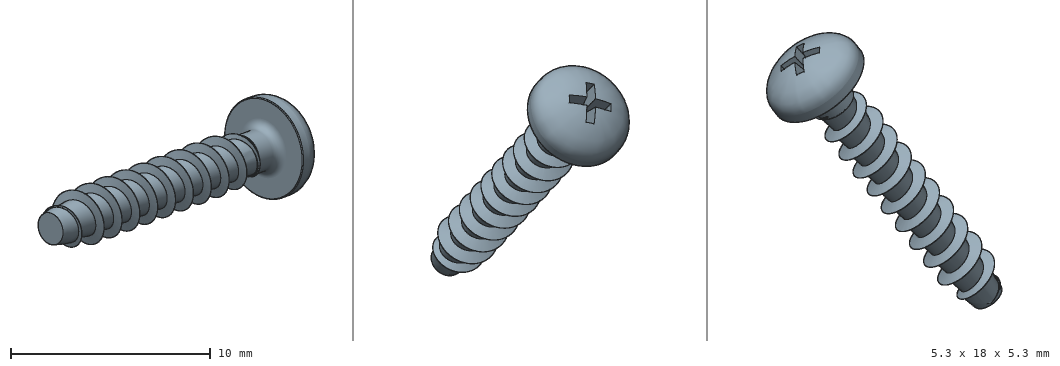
import cadquery as cq
import math


head_radius = 2.65
head_height = 1.99
rim_height = 0.54
rim_chamfer = 0.05

wing_width = 0.48
wing_span = 2.3
recess_depth = 1.2
recess_taper = 8.0

shank_radius = 1.08
shank_length = 1.5
neck_fillet = 0.47
screw_length = 16.0

core_radius = 1.02
core_low_radius = 0.86
shoulder_length = 0.4
tip_radius = 0.84
tip_taper_length = 0.9

thread_radius = 1.5
pitch = 1.342
crest_width = 0.02
tooth_depth = 0.65
head_side_flank = 18.0
tip_side_flank = 10.0
crest_start_y = -1.586
first_turn = -0.2
full_turn = 1.0
fade_turn = 9.35
last_turn = 10.55
start_radius = 1.13
end_radius = 0.92

groove_land = 0.1
groove_clearance = 0.02
groove_first_turn = -1.25
groove_start_turn = -0.8
groove_full_turn = -0.5
groove_last_turn = 11.75

points_per_turn = 24


def axis_revolve(profile):
    """Turn a profile drawn in the ZY plane about the Y axis."""
    return profile.close().revolve(360, (0, 0, 0), (0, 1, 0))


def make_head_and_shank():
    dome_height = head_height - rim_height
    profile = (
        cq.Workplane("ZY")
        .moveTo(0, -shank_length)
        .lineTo(shank_radius, -shank_length)
        .lineTo(shank_radius, -neck_fillet)
        .radiusArc((shank_radius + neck_fillet, 0), neck_fillet)
        .lineTo(head_radius - rim_chamfer, 0)
        .lineTo(head_radius, rim_chamfer)
        .lineTo(head_radius, rim_height)
        .ellipseArc(head_radius, dome_height, 0, 90, startAtCurrent=True)
    )
    return axis_revolve(profile)


def make_recess():
    """Cross-shaped cutter that narrows towards its floor."""
    top = cq.Workplane("XZ", origin=(0, head_height, 0))
    along_x = top.rect(wing_span, wing_width).extrude(recess_depth, taper=recess_taper)
    along_z = top.rect(wing_width, wing_span).extrude(recess_depth, taper=recess_taper)
    return along_x.union(along_z)


def helix_edge(radius_at, offset, turn_from, turn_to):
    """Right-hand helix about Y, shifted along Y by offset from the crest line."""
    count = math.ceil((turn_to - turn_from) * points_per_turn)
    points = []
    for i in range(count + 1):
        turn = turn_from + (turn_to - turn_from) * i / count
        angle = 2 * math.pi * turn
        radius = radius_at(turn)
        y = crest_start_y - pitch * turn + offset
        points.append(cq.Vector(radius * math.cos(angle), y, radius * math.sin(angle)))
    return cq.Edge.makeSpline(points)


def helical_solid(corners, turn_from, turn_to):
    """Solid whose section is the polygon of (radius function, Y offset) corners, built turn by turn."""

    def edges_between(start, stop):
        return [helix_edge(radius_at, offset, start, stop) for radius_at, offset in corners]

    def end_face(edges, end):
        ring = [edge.positionAt(end) for edge in edges]
        return cq.Face.makeFromWires(cq.Wire.makePolygon(ring, close=True))

    segment_count = math.ceil(turn_to - turn_from)
    segment = (turn_to - turn_from) / segment_count
    starts = [turn_from + i * segment for i in range(segment_count)]
    segments = [edges_between(start, start + segment) for start in starts]

    faces = [end_face(segments[0], 0), end_face(segments[-1], 1)]
    for edges in segments:
        for i, edge in enumerate(edges):
            faces.append(cq.Face.makeRuledSurface(edges[i - 1], edge))
    solid = cq.Solid.makeSolid(cq.Shell.makeShell(faces))
    return cq.Workplane(solid.fix())


def crest_radius(turn):
    """Crest radius, rising over the first turn and falling over the last ones."""
    if turn < full_turn:
        share = (turn - first_turn) / (full_turn - first_turn)
        return start_radius + share * (thread_radius - start_radius)
    if turn > fade_turn:
        share = (turn - fade_turn) / (last_turn - fade_turn)
        return thread_radius + share * (end_radius - thread_radius)
    return thread_radius


def tooth_base_radius(turn):
    return crest_radius(turn) - tooth_depth


def make_thread():
    half_crest = crest_width / 2
    head_side_base = half_crest + tooth_depth * math.tan(math.radians(head_side_flank))
    tip_side_base = half_crest + tooth_depth * math.tan(math.radians(tip_side_flank))
    corners = [
        (tooth_base_radius, head_side_base),
        (crest_radius, half_crest),
        (crest_radius, -half_crest),
        (tooth_base_radius, -tip_side_base),
    ]
    return helical_solid(corners, first_turn, last_turn)


def groove_top_radius(turn):
    """Constant radius, just clear of the core."""
    return core_radius + groove_clearance


def groove_floor_radius(turn):
    """Radius at the tip-side end of the groove, which deepens to its full depth at the start."""
    share = (turn - groove_start_turn) / (groove_full_turn - groove_start_turn)
    share = min(max(share, 0), 1)
    return groove_top_radius(turn) + share * (core_low_radius - groove_top_radius(turn))


def groove_outer_radius(turn):
    return core_radius + tooth_depth


def make_core():
    """Cylinder with tapered ends and a shallow wedge cut away between the turns of thread."""
    blank = axis_revolve(
        cq.Workplane("ZY")
        .moveTo(0, -shank_length)
        .lineTo(shank_radius, -shank_length)
        .lineTo(core_radius, -shank_length - shoulder_length)
        .lineTo(core_radius, -screw_length + tip_taper_length)
        .lineTo(tip_radius, -screw_length)
        .lineTo(0, -screw_length)
    )
    corners = [
        (groove_top_radius, -groove_land / 2),
        (groove_floor_radius, groove_land / 2 - pitch),
        (groove_outer_radius, groove_land / 2 - pitch),
    ]
    groove = helical_solid(corners, groove_first_turn, groove_last_turn)
    return blank.cut(groove)


screw = make_head_and_shank().union(make_core()).union(make_thread()).cut(make_recess())
result = screw.solids()